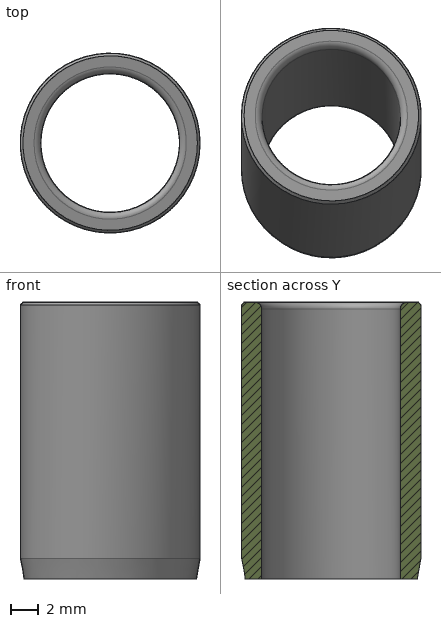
import cadquery as cq
import math

length = 20.0
outer_diameter = 13.0
bore_diameter = 10.0
bore_mouth_radius = 0.5
top_chamfer = 0.2
lead_in_height = 1.5
lead_in_angle = 10.0

outer_radius = outer_diameter / 2
lead_in_inset = lead_in_height * math.tan(math.radians(lead_in_angle))


def make_body():
    """Solid of revolution with a tapered lead-in below and a chamfered top rim."""
    return (
        cq.Workplane("XZ")
        .moveTo(0, 0)
        .lineTo(outer_radius - lead_in_inset, 0)
        .lineTo(outer_radius, lead_in_height)
        .lineTo(outer_radius, length - top_chamfer)
        .lineTo(outer_radius - top_chamfer, length)
        .lineTo(0, length)
        .close()
        .revolve(360, (0, 0), (0, 1))
    )


def cut_bore(body):
    """Through bore with a rounded mouth at the top."""
    bored = body.faces(">Z").workplane().hole(bore_diameter)
    bore_rim = cq.selectors.RadiusNthSelector(0)
    return bored.faces(">Z").edges(bore_rim).fillet(bore_mouth_radius)


result = cut_bore(make_body())